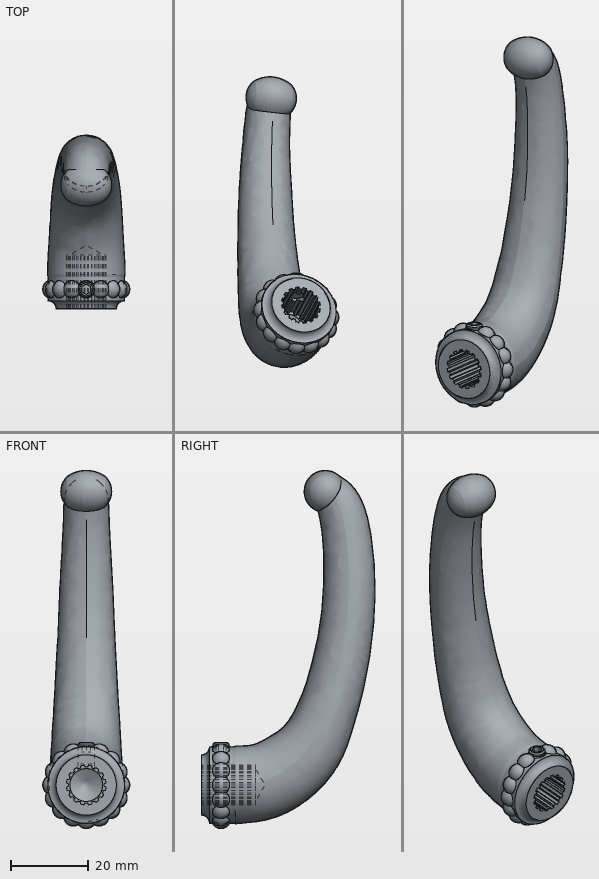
import cadquery as cq
import math

MOUNT_FACE_RADIUS = 7.8
COLLAR_RADIUS = 9.9
COVE_RADIUS = COLLAR_RADIUS - MOUNT_FACE_RADIUS
COLLAR_END = 8.2
GRIP_START_RADIUS = 10.05
GRIP_START_Y = 8.9

BEAD_COUNT = 16
BEAD_RADIUS = 2.5
BEAD_TIP_RADIUS = 11.28
BEAD_PITCH_RADIUS = BEAD_TIP_RADIUS - BEAD_RADIUS
BEAD_Y = 5.1

SPLINE_TEETH = 16
SPLINE_ROOT_RADIUS = 5.15
SPLINE_TIP_RADIUS = 4.65
TOOTH_TIP_SHARE = 0.35
TOOTH_ROOT_SHARE = 0.6
SPLINE_DEPTH = 14.0
SOCKET_CONE_RADIUS = 4.25
SOCKET_CONE_DEPTH = 2.5

SCREW_RADIUS = 2.1
SCREW_TOP = 11.0
SCREW_BOTTOM = 5.5
SCREW_CHAMFER = 0.4
HEX_ACROSS_FLATS = 2.3
HEX_DEPTH = 2.5

KNOB_Y = 32.05
KNOB_Z = 75.94
KNOB_RADIUS = 5.47
KNOB_HALF_LENGTH = 6.6
KNOB_SHOULDER_X = 4.88
KNOB_SHOULDER_RADIUS = 3.9

GRIP_SECTIONS = [
    (13.0, 0.35, 9.5, 9.95, 9.95),
    (18.67, 2.0, 23, 9.6, 9.75),
    (23.37, 5.0, 38, 9.35, 9.4),
    (27.26, 8.72, 52, 9.1, 8.85),
    (30.12, 13.14, 63, 8.85, 8.25),
    (33.53, 21.94, 73, 8.3, 7.5),
    (36.32, 33.03, 79, 7.7, 7.15),
    (37.9, 43.65, 85, 7.2, 6.85),
    (38.25, 56.43, 93, 6.6, 6.55),
    (37.03, 67.79, 107, 6.0, 6.15),
    (35.3, 72.9, 122, 5.8, 5.75),
    (32.5, 76.0, 150, 5.2, 4.9),
]


def ring_point(radius, angle):
    """Point at a radius and angle (degrees) in the plane across the Y axis."""
    turn = math.radians(angle)
    return radius * math.cos(turn), radius * math.sin(turn)


def make_collar():
    """Coved mounting end, bead band and flare to the grip, turned about Y."""
    cove_middle = COVE_RADIUS * math.sqrt(0.5)
    return (
        cq.Workplane("XY")
        .lineTo(MOUNT_FACE_RADIUS, 0)
        .threePointArc((COLLAR_RADIUS - cove_middle, cove_middle), (COLLAR_RADIUS, COVE_RADIUS))
        .lineTo(COLLAR_RADIUS, COLLAR_END)
        .lineTo(GRIP_START_RADIUS, GRIP_START_Y)
        .lineTo(0, GRIP_START_Y)
        .close()
        .revolve(360, (0, 0, 0), (0, 1, 0))
    )


def make_beads():
    """Ring of spheres half sunk in the collar."""
    beads = []
    for index in range(BEAD_COUNT):
        x, z = ring_point(BEAD_PITCH_RADIUS, index * 360 / BEAD_COUNT)
        beads.append(cq.Workplane("XY").sphere(BEAD_RADIUS).translate((x, BEAD_Y, z)))
    return beads


def make_grip():
    """Curved, tapering grip lofted through elliptical sections."""
    wires = [cq.Wire.makeCircle(GRIP_START_RADIUS, cq.Vector(0, GRIP_START_Y, 0), cq.Vector(0, 1, 0))]
    for y, z, heading, half_width, half_depth in GRIP_SECTIONS:
        travel = cq.Vector(0, *ring_point(1, heading))
        plane = cq.Plane(origin=(0, y, z), xDir=(1, 0, 0), normal=travel)
        wires.append(cq.Workplane(plane).ellipse(half_width, half_depth).wires().val())
    return cq.Workplane(cq.Solid.makeLoft(wires))


def make_knob():
    """Barrel turned about X: a bulging middle between two spherical ends."""
    end_rise = KNOB_HALF_LENGTH - KNOB_SHOULDER_X
    end_radius = (KNOB_SHOULDER_RADIUS**2 + end_rise**2) / (2 * end_rise)
    end_half_angle = math.asin(KNOB_SHOULDER_RADIUS / end_radius) / 2
    end_middle = (
        KNOB_HALF_LENGTH - end_radius * (1 - math.cos(end_half_angle)),
        end_radius * math.sin(end_half_angle),
    )
    return (
        cq.Workplane("XY")
        .moveTo(-KNOB_HALF_LENGTH, 0)
        .threePointArc((-end_middle[0], end_middle[1]), (-KNOB_SHOULDER_X, KNOB_SHOULDER_RADIUS))
        .threePointArc((0, KNOB_RADIUS), (KNOB_SHOULDER_X, KNOB_SHOULDER_RADIUS))
        .threePointArc(end_middle, (KNOB_HALF_LENGTH, 0))
        .close()
        .revolve(360, (0, 0, 0), (1, 0, 0))
        .translate((0, KNOB_Y, KNOB_Z))
    )


def make_spline_socket():
    """Toothed bore with a conical floor, as a cutter running along +Y."""
    pitch = 360 / SPLINE_TEETH
    tip_half_angle = pitch * TOOTH_TIP_SHARE / 2
    root_half_angle = pitch * TOOTH_ROOT_SHARE / 2
    outline = []
    for index in range(SPLINE_TEETH):
        tooth = index * pitch
        outline.append(ring_point(SPLINE_ROOT_RADIUS, tooth - root_half_angle))
        outline.append(ring_point(SPLINE_TIP_RADIUS, tooth - tip_half_angle))
        outline.append(ring_point(SPLINE_TIP_RADIUS, tooth + tip_half_angle))
        outline.append(ring_point(SPLINE_ROOT_RADIUS, tooth + root_half_angle))
    bore = cq.Workplane("XZ").polyline(outline).close().extrude(-SPLINE_DEPTH)
    floor = cq.Solid.makeCone(
        SOCKET_CONE_RADIUS, 0, SOCKET_CONE_DEPTH, cq.Vector(0, SPLINE_DEPTH, 0), cq.Vector(0, 1, 0)
    )
    return bore.union(cq.Workplane(floor))


def make_screw_hole():
    """Cutter for the set screw hole, from the socket out through the top bead."""
    return cq.Workplane("XY").center(0, BEAD_Y).circle(SCREW_RADIUS).extrude(BEAD_TIP_RADIUS)


def make_handle():
    handle = make_collar().union(make_grip()).union(make_knob())
    for bead in make_beads():
        handle = handle.union(bead)
    return handle.cut(make_spline_socket()).cut(make_screw_hole())


def make_set_screw():
    """Chamfered grub screw with a hexagonal drive in its top."""
    return (
        cq.Workplane("XY", origin=(0, BEAD_Y, SCREW_BOTTOM))
        .circle(SCREW_RADIUS)
        .extrude(SCREW_TOP - SCREW_BOTTOM)
        .faces(">Z")
        .chamfer(SCREW_CHAMFER)
        .faces(">Z")
        .workplane()
        .polygon(6, HEX_ACROSS_FLATS, circumscribed=True)
        .cutBlind(-HEX_DEPTH)
    )


handle = make_handle()
set_screw = make_set_screw()
result = cq.Compound.makeCompound([*handle.solids().vals(), *set_screw.vals()])